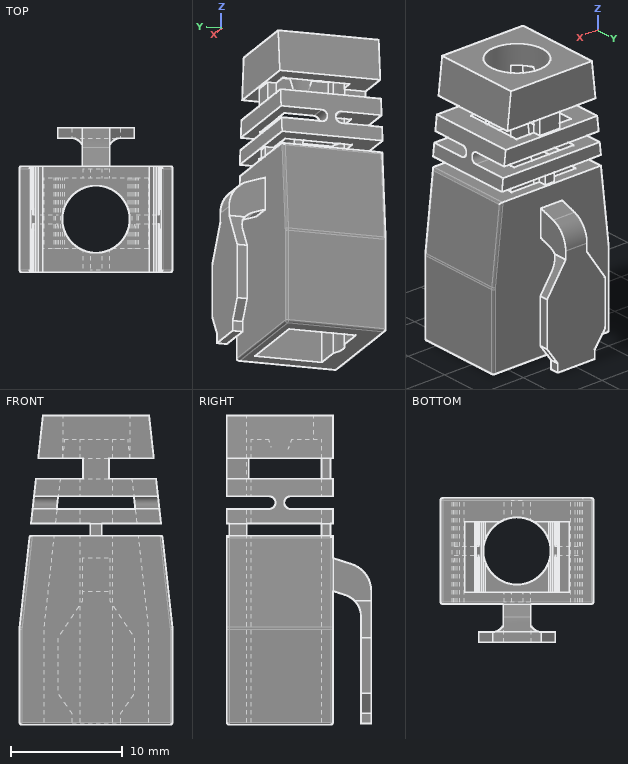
import cadquery as cq
import math

height = 27.69
base_width = 13.72
top_width = 9.525
depth = 9.525
overall_depth = 12.95
bend_z = 8.66
bend_radius = 2.0
body_top_z = 16.94
edge_radius = 0.23

lower_gap = 1.06
lower_plate_thickness = 1.33
middle_gap = 1.11
middle_plate_thickness = 1.6
top_block_height = 3.85
lower_plate_z = body_top_z + lower_gap
middle_gap_z = lower_plate_z + lower_plate_thickness
middle_plate_z = middle_gap_z + middle_gap
middle_plate_top_z = middle_plate_z + middle_plate_thickness
top_block_z = height - top_block_height
upper_column_width = 2.33
lower_column_width = 1.07
column_inset = edge_radius
side_bar_width = 0.8

cable_diameter = 6.0
ceiling_thickness = 2.15
cavity_ceiling_z = height - ceiling_thickness
side_wall = 2.18
back_wall = 1.05
front_wall = 2.15

guard_reach = overall_depth - depth
guard_thickness = 0.94
guard_bottom_z = 0.1
guard_neck_width = 2.5
guard_width = 6.86
guard_tip_width = 4.35
guard_neck_end_z = 11.08
guard_wide_top_z = 7.8
guard_wide_bottom_z = 2.84
guard_tip_z = 1.04
guard_outer_root_z = 14.93
guard_inner_root_z = 11.96
guard_root_angle = 18.0
guard_outer_radius = 2.54
guard_inner_radius = 2.0

front_y = -depth / 2
back_y = depth / 2
taper = (base_width - top_width) / 2 / (height - bend_z)


def half_width(z):
    """Half width in X between the outer sides at height z."""
    return base_width / 2 - taper * max(z - bend_z, 0)


def box(x_range, y_range, z_range):
    x0, x1 = x_range
    y0, y1 = y_range
    z0, z1 = z_range
    return cq.Workplane("XY").box(x1 - x0, y1 - y0, z1 - z0, centered=False).translate((x0, y0, z0))


def side_profile_prism(levels, wall, y_range):
    """Prism along Y through the given heights, its sides one wall inside the outer sides."""
    right = [(half_width(z) - wall, z) for z in levels]
    left = [(-x, z) for x, z in reversed(right)]
    y0, y1 = y_range
    return cq.Workplane("XZ", origin=(0, y1, 0)).polyline(right + left).close().extrude(y1 - y0)


def housing():
    """Lower block that surrounds the plug, with rounded edges."""
    body = side_profile_prism([0, bend_z, body_top_z], 0, (front_y, back_y))
    bends = cq.selectors.BoxSelector(
        (-base_width, -depth, bend_z - edge_radius),
        (base_width, depth, bend_z + edge_radius),
        boundingbox=True,
    )
    body = body.edges("|Y").edges(bends).fillet(bend_radius)
    rounded_edges = body.edges("not |X").add(body.faces("<Z").edges("|X"))
    return rounded_edges.fillet(edge_radius)


def strain_relief():
    """Leaning block above the housing, cut by three gaps into two plates and a top block."""
    block = side_profile_prism([lower_plate_z, height], 0, (front_y, back_y))
    block = block.cut(middle_gap_cutters())
    return block.cut(box((-base_width, base_width), (-depth, depth), (middle_plate_top_z, top_block_z)))


def middle_gap_cutters():
    """Round-ended gaps from the front and back, running through along X."""
    gap_length = depth
    center_y = (side_bar_width + gap_length) / 2
    center_z = middle_gap_z + middle_gap / 2
    return (
        cq.Workplane("YZ", origin=(-base_width / 2, 0, 0))
        .pushPoints([(-center_y, center_z), (center_y, center_z)])
        .slot2D(gap_length, middle_gap)
        .extrude(base_width)
    )


def columns():
    """Columns that bridge the upper and lower gaps at the front and back walls."""
    inset_front_y = front_y + column_inset
    inset_back_y = back_y - column_inset
    upper_x = (-upper_column_width / 2, upper_column_width / 2)
    lower_x = (-lower_column_width / 2, lower_column_width / 2)
    upper_z = (middle_plate_top_z, top_block_z)
    lower_z = (body_top_z, lower_plate_z)
    upper = box(upper_x, (front_y, inset_back_y), upper_z)
    lower = box(lower_x, (inset_front_y, inset_back_y), lower_z)
    return upper.union(lower)


def cavity():
    """Hollow inside the housing and strain relief, open at the bottom."""
    y_range = (front_y + front_wall, back_y - back_wall)
    return side_profile_prism([0, bend_z, cavity_ceiling_z], side_wall, y_range)


def cable_hole():
    """Round hole along the whole height, which also grooves the cavity walls it overlaps."""
    return cq.Workplane("XY").circle(cable_diameter / 2).extrude(height)


def guard_bend(root_z, y, radius):
    """Tangent points and midpoint of a bend from the sloping root to a vertical face at y."""
    angle = math.radians(guard_root_angle)
    half_turn = (math.pi / 2 - angle) / 2
    corner_z = root_z - (y - back_y) * math.tan(angle)
    center_y = y - radius
    center_z = corner_z - radius * math.tan(half_turn)
    upper = (center_y + radius * math.sin(angle), center_z + radius * math.cos(angle))
    middle = (center_y + radius * math.cos(half_turn), center_z + radius * math.sin(half_turn))
    lower = (y, center_z)
    return upper, middle, lower


def latch_guard():
    """Arm bending down from the back wall into a flat paddle."""
    outer_y = back_y + guard_reach
    inner_y = outer_y - guard_thickness
    outer_upper, outer_middle, outer_lower = guard_bend(guard_outer_root_z, outer_y, guard_outer_radius)
    inner_upper, inner_middle, inner_lower = guard_bend(guard_inner_root_z, inner_y, guard_inner_radius)
    arm = (
        cq.Workplane("YZ")
        .moveTo(back_y, guard_outer_root_z)
        .lineTo(*outer_upper)
        .threePointArc(outer_middle, outer_lower)
        .lineTo(outer_y, guard_bottom_z)
        .lineTo(inner_y, guard_bottom_z)
        .lineTo(*inner_lower)
        .threePointArc(inner_middle, inner_upper)
        .lineTo(back_y, guard_inner_root_z)
        .close()
        .extrude(guard_width / 2, both=True)
    )
    right = [
        (guard_tip_width / 2, guard_bottom_z),
        (guard_tip_width / 2, guard_tip_z),
        (guard_width / 2, guard_wide_bottom_z),
        (guard_width / 2, guard_wide_top_z),
        (guard_neck_width / 2, guard_neck_end_z),
        (guard_neck_width / 2, height),
    ]
    left = [(-x, z) for x, z in reversed(right)]
    outline = cq.Workplane("XZ").polyline(right + left).close().extrude(-outer_y)
    return arm.intersect(outline)


shell = housing().union(strain_relief()).union(columns())
result = shell.cut(cavity()).cut(cable_hole()).union(latch_guard())